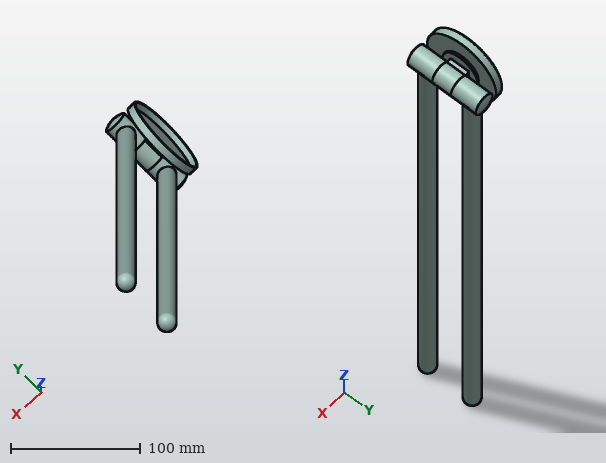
import cadquery as cq

overall_height = 485.0
overall_width = 74.0

disc_diameter = 70.0
disc_thickness = 7.5
rim_width = 1.5
recess_depth = 6.0

base_diameter = 35.0
base_thickness = 2.0
block_height = 13.0

barrel_diameter = 20.0
barrel_radius = barrel_diameter / 2
center_length = 19.0
cap_height = 2.5

bar_diameter = 15.0
bar_radius = bar_diameter / 2
bar_spacing = 45.0

overall_depth = 31.0
disc_front_x = barrel_radius - overall_depth
disc_back_x = disc_front_x + disc_thickness
bar_bottom_z = disc_diameter / 2 - overall_height
bar_dome_z = bar_bottom_z + bar_radius
barrel_inner_y = center_length / 2
barrel_tip_y = overall_width / 2
barrel_outer_y = barrel_tip_y - cap_height


def disc_along_x(diameter, start_x, thickness):
    """Round plate facing along X."""
    return cq.Workplane("YZ", origin=(start_x, 0, 0)).circle(diameter / 2).extrude(thickness)


def make_mount_disc():
    """Round plate with a shallow recess in its outer face."""
    plate = disc_along_x(disc_diameter, disc_front_x, disc_thickness)
    recess = disc_along_x(disc_diameter - 2 * rim_width, disc_front_x, recess_depth)
    return plate.cut(recess)


def make_center_bracket():
    """Round base, flat-sided block and the middle barrel of the hinge."""
    base = disc_along_x(base_diameter, disc_back_x, base_thickness)
    block_length = -disc_back_x
    block = cq.Workplane("XY").box(block_length, center_length, block_height)
    block = block.translate((disc_back_x + block_length / 2, 0, 0))
    barrel = cq.Workplane("XZ").circle(barrel_radius).extrude(center_length / 2, both=True)
    return base.union(block).union(barrel)


def make_end_barrel(side):
    """Outer hinge barrel with a shallow domed end; side is +1 or -1 along Y."""
    dome_radius = (barrel_radius**2 + cap_height**2) / (2 * cap_height)
    dome_center_y = barrel_tip_y - dome_radius
    arc_x = barrel_radius / 2
    arc_y = dome_center_y + (dome_radius**2 - arc_x**2) ** 0.5
    barrel = (
        cq.Workplane("XY")
        .moveTo(0, side * barrel_inner_y)
        .lineTo(barrel_radius, side * barrel_inner_y)
        .lineTo(barrel_radius, side * barrel_outer_y)
        .threePointArc((arc_x, side * arc_y), (0, side * barrel_tip_y))
        .close()
        .revolve(360, (0, 0, 0), (0, 1, 0))
    )
    return barrel


def make_bar(side, end_barrel):
    """Round bar with a hemispherical tip, its top fitted against the barrel."""
    bar_y = side * bar_spacing / 2
    shaft = cq.Workplane("XY", origin=(0, bar_y, bar_dome_z)).circle(bar_radius).extrude(-bar_dome_z)
    tip = cq.Workplane("XY", origin=(0, bar_y, bar_dome_z)).sphere(bar_radius)
    return shaft.union(tip).cut(end_barrel)


mount_disc = make_mount_disc()
center_bracket = make_center_bracket()

arm_solids = []
for side in (-1, 1):
    end_barrel = make_end_barrel(side)
    bar = make_bar(side, end_barrel)
    arm_solids.extend([end_barrel.val(), *bar.solids().vals()])

result = cq.Compound.makeCompound([mount_disc.val(), center_bracket.val(), *arm_solids])